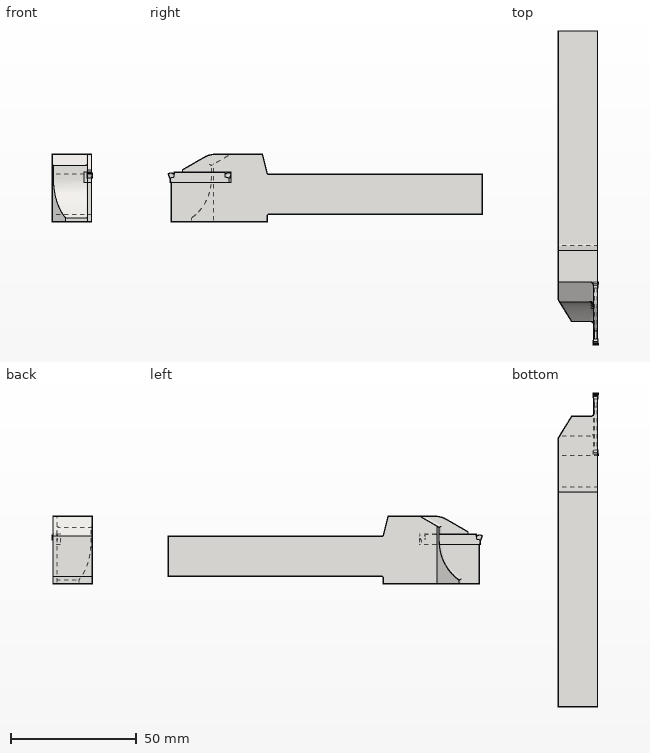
import cadquery as cq
import math


total_length = 125.0
shank_height = 16.0
shank_width = 15.8
head_bottom = -3.0
head_top = 24.0
head_rear_foot = 39.5
head_rear_top = 37.5
shank_root_fillet = 0.5

front_slope = math.radians(30)
slope_start_y = 25.0
wall_y = 17.1
arc_start_z = 13.9
lip_y = 9.3
lip_top = -1.5

corner_start_y = 18.0
corner_depth = 5.4

blade_thickness = 1.6
blade_front_y = 1.1
blade_nose_y = 5.6
blade_bend_y = 16.5
blade_bend_radius = 10.0
blade_fillet = 1.1
blade_x = shank_width - blade_thickness

seat_bottom = 12.8
seat_top = 16.9
insert_length = 25.0
bar_front_y = 0.8
bar_chamfer = 0.3
relief_end_y = 17.3
relief_depth = 1.5

edge_overhang = 0.3
back_overhang = 0.1
edge_z = 16.1
crest_front_y = 0.6
crest_back_y = 1.4
crest_z = 16.5
rake_back_z = 16.0
head_back_y = 2.4
head_back_z = 14.9
head_heel_y = 0.5
head_heel_z = 14.4


def extrude_yz(outline, x_start, x_end):
    """Extrude a closed YZ outline from x_start to x_end."""
    return outline.extrude(x_end - x_start).translate((x_start, 0, 0))


def make_body():
    """Shank and the taller head, before the blade is added."""
    wall_top = head_top - (slope_start_y - wall_y) * math.tan(front_slope)
    outline = (
        cq.Workplane("YZ")
        .moveTo(total_length, 0)
        .lineTo(total_length, shank_height)
        .lineTo(head_rear_foot, shank_height)
        .lineTo(head_rear_top, head_top)
        .lineTo(slope_start_y, head_top)
        .lineTo(wall_y, wall_top)
        .lineTo(wall_y, arc_start_z)
        .tangentArcPoint((lip_y, lip_top), relative=False)
        .lineTo(lip_y, head_bottom)
        .lineTo(head_rear_foot, head_bottom)
        .lineTo(head_rear_foot, 0)
        .close()
    )
    body = extrude_yz(outline, 0, shank_width)
    upper_root = cq.selectors.NearestToPointSelector((shank_width / 2, head_rear_foot, shank_height))
    lower_root = cq.selectors.NearestToPointSelector((shank_width / 2, head_rear_foot, 0))
    return body.edges(upper_root + lower_root).fillet(shank_root_fillet)


def make_corner_cut():
    """Wedge that slants the -X front corner of the head."""
    return (
        cq.Workplane("XY", origin=(0, 0, head_bottom))
        .polyline([(0, corner_start_y), (corner_depth, lip_y), (0, lip_y)])
        .close()
        .extrude(head_top - head_bottom)
    )


def make_blade():
    """Thin blade whose top bends smoothly into a slope down to the nose."""
    bend_tangent = blade_bend_radius * math.tan(front_slope / 2)
    bend_start_y = blade_bend_y + bend_tangent
    bend_end_y = blade_bend_y - bend_tangent * math.cos(front_slope)
    bend_end_z = head_top - bend_tangent * math.sin(front_slope)
    nose_top = head_top - (blade_bend_y - blade_nose_y) * math.tan(front_slope)
    outline = (
        cq.Workplane("YZ")
        .moveTo(slope_start_y, head_bottom)
        .lineTo(slope_start_y, head_top)
        .lineTo(bend_start_y, head_top)
        .tangentArcPoint((bend_end_y, bend_end_z), relative=False)
        .lineTo(blade_nose_y, nose_top)
        .lineTo(blade_nose_y, seat_top)
        .lineTo(blade_front_y, seat_bottom)
        .lineTo(blade_front_y, head_bottom)
        .close()
    )
    return extrude_yz(outline, blade_x, shank_width)


def fillet_blade_root(holder):
    """Round the inner corner where the front of the head meets the blade."""
    margin = 0.1
    lip_and_arc = cq.selectors.BoxSelector(
        (blade_x - margin, lip_y - margin, head_bottom - margin),
        (blade_x + margin, wall_y, arc_start_z),
    )
    wall_and_slope = cq.selectors.BoxSelector(
        (blade_x - margin, wall_y - margin, arc_start_z),
        (blade_x + margin, slope_start_y, head_top - margin),
    )
    return holder.edges(lip_and_arc + wall_and_slope).fillet(blade_fillet)


def make_seat():
    """Slot for the insert bar, with a relief that clears the blade fillet beside it."""
    seat_height = seat_top - seat_bottom
    slot = cq.Workplane("XY").box(
        blade_thickness, insert_length, seat_height, centered=False
    ).translate((blade_x, 0, seat_bottom))
    relief = cq.Workplane("XY").box(
        relief_depth, relief_end_y, seat_height, centered=False
    ).translate((blade_x - relief_depth, 0, seat_bottom))
    return slot.union(relief)


def make_holder(insert):
    """Holder with the insert seat and a matching recess for the wide rear insert head."""
    body = make_body().cut(make_corner_cut())
    holder = fillet_blade_root(body.union(make_blade()))
    return holder.cut(make_seat()).cut(insert)


def make_insert_head():
    """Cutting head with its edge at Y = 0, tapering in width towards the back."""
    profile = (
        cq.Workplane("YZ")
        .moveTo(0, edge_z)
        .lineTo(crest_front_y, crest_z)
        .lineTo(crest_back_y, crest_z)
        .lineTo(head_back_y, rake_back_z)
        .lineTo(head_back_y, head_back_z)
        .lineTo(head_heel_y, head_heel_z)
        .close()
    )
    plan = (
        cq.Workplane("XY", origin=(0, 0, seat_bottom))
        .moveTo(blade_x - edge_overhang, 0)
        .lineTo(shank_width + edge_overhang, 0)
        .lineTo(shank_width + back_overhang, head_back_y)
        .lineTo(blade_x - back_overhang, head_back_y)
        .close()
        .extrude(seat_top - seat_bottom)
    )
    return plan.intersect(extrude_yz(profile, 0, shank_width + edge_overhang))


def make_insert():
    """Double-ended insert: a bar as thick as the blade with a cutting head at each end."""
    middle_y = insert_length / 2
    half_profile = (
        cq.Workplane("YZ")
        .moveTo(middle_y, seat_bottom)
        .lineTo(middle_y, seat_top)
        .lineTo(head_back_y, seat_top)
        .lineTo(head_back_y, head_back_z)
        .lineTo(bar_front_y, head_back_z)
        .lineTo(bar_front_y, seat_bottom)
        .close()
    )
    half_bar = extrude_yz(half_profile, blade_x, shank_width)
    half_bar = half_bar.faces(">Z").edges("|Y").chamfer(bar_chamfer)
    half = half_bar.union(make_insert_head())
    return half.union(half.mirror("XZ", (0, middle_y, 0)))


insert = make_insert()
holder = make_holder(insert)

result = cq.Compound.makeCompound([holder.val(), insert.val()])